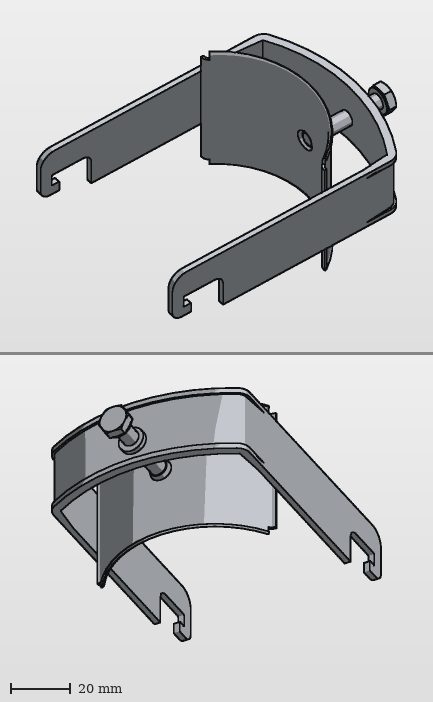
import cadquery as cq
import math


bracket_width = 75.0
strap_height = 25.0
strap_offset = 2.9
leg_thickness = 2.3
bow_thickness = 3.2
bow_top = 106.0
bow_radius = 70.6
shoulder_radius = 5.0
leg_shoulder_y = 92.2
taper_end_y = 82.5
rim_height = 2.0
band_depth = 0.8

slot_back_y = 21.4
slot_front_y = 4.8
slot_drop = 11.1
lip_drop = 15.9
hook_drop = 20.1
lip_back_y = 8.0
hook_top_radius = 6.0
hook_bottom_radius = 4.0
slot_radius = 3.6
small_radius = 0.5

screw_diameter = 6.0
screw_top = 119.7
head_height = 4.0
head_face_height = 0.6
head_face_diameter = 10.0
head_across_flats = 10.0
head_chamfer_angle = 30.0
screw_tip = 85.8
tip_chamfer = 0.6
collar_diameter = 9.5
collar_top = 107.0
collar_offset = -0.5

sheet = 1.0
pad_height = 53.5
pad_radius = 37.3
pad_apex = 85.1
pad_half_chord = 31.1
flare_angle = 60.0
flare_radius = sheet
tab_tip = 34.1
tab_inset = 3.1
tab_bend_radius = 2.0
neck_top = 88.0
neck_top_diameter = 6.7
neck_base_diameter = 7.9
neck_mouth_diameter = 7.5

strap_top = strap_offset + strap_height / 2
strap_bottom = strap_offset - strap_height / 2
half_width = bracket_width / 2
bow_centre_y = bow_top - bow_radius


def circle_y(radius, centre_y, x):
    """Upper Y of a circle centred on the mid plane."""
    return centre_y + math.sqrt(radius**2 - x**2)


def bow_blank(inset, rounding, bottom, height):
    """Filled U outline whose bow is sunk by `inset`, while the legs taper back to full width."""
    radius = bow_radius - inset
    side = half_width - inset
    corner_y = circle_y(radius, bow_centre_y, side)
    blank = (
        cq.Workplane("XY").workplane(offset=bottom)
        .moveTo(-half_width, 0)
        .lineTo(-half_width, taper_end_y)
        .lineTo(-side, leg_shoulder_y)
        .lineTo(-side, corner_y)
        .threePointArc((0, bow_centre_y + radius), (side, corner_y))
        .lineTo(side, leg_shoulder_y)
        .lineTo(half_width, taper_end_y)
        .lineTo(half_width, 0)
        .close()
        .extrude(height)
    )
    for corner_x in (-side, side):
        middle = (corner_x, corner_y, bottom + height / 2)
        blank = blank.edges(cq.selectors.NearestToPointSelector(middle)).fillet(rounding)
    return blank


def bow_opening():
    """Space inside the bow and between the legs."""
    radius = bow_radius - bow_thickness
    leg_x = half_width - leg_thickness
    corner_x = half_width - bow_thickness
    corner_y = circle_y(radius, bow_centre_y, corner_x)
    return (
        cq.Workplane("XY").workplane(offset=strap_bottom)
        .moveTo(-leg_x, 0)
        .lineTo(-leg_x, taper_end_y)
        .lineTo(-corner_x, corner_y)
        .threePointArc((0, bow_centre_y + radius), (corner_x, corner_y))
        .lineTo(leg_x, taper_end_y)
        .lineTo(leg_x, 0)
        .close()
        .extrude(strap_height)
    )


def hook_profile():
    """Side outline of the strap, running through both legs."""
    slot_z = strap_top - slot_drop
    lip_z = strap_top - lip_drop
    hook_z = strap_top - hook_drop
    side = (
        cq.Workplane("YZ")
        .moveTo(bow_top, strap_bottom)
        .lineTo(slot_back_y, strap_bottom)
        .lineTo(slot_back_y, slot_z)
        .lineTo(slot_front_y, slot_z)
        .lineTo(slot_front_y, lip_z)
        .lineTo(lip_back_y, lip_z)
        .lineTo(lip_back_y, hook_z)
        .lineTo(0, hook_z)
        .lineTo(0, strap_top)
        .lineTo(bow_top, strap_top)
        .close()
        .extrude(half_width, both=True)
    )
    rounded_corners = [
        (0, strap_top, hook_top_radius),
        (0, hook_z, hook_bottom_radius),
        (slot_back_y, slot_z, slot_radius),
        (slot_front_y, slot_z, small_radius),
        (lip_back_y, lip_z, small_radius),
        (lip_back_y, hook_z, small_radius),
    ]
    for y, z, radius in rounded_corners:
        side = side.edges(cq.selectors.NearestToPointSelector((0, y, z))).fillet(radius)
    return side


def rod(diameter, start_y, end_y):
    """Cylinder on the screw axis."""
    return (
        cq.Workplane("XZ", origin=(0, start_y, 0))
        .circle(diameter / 2)
        .extrude(start_y - end_y)
    )


def screw_head():
    """Chamfered hexagon with a round bearing face under it."""
    across_corners = head_across_flats / math.cos(math.pi / 6)
    flank = (across_corners - head_across_flats) / 2
    chamfer = flank * math.tan(math.radians(head_chamfer_angle))
    under_hex = screw_top - head_height + head_face_height
    hexagon = (
        cq.Workplane("XZ", origin=(0, screw_top, 0))
        .polygon(6, across_corners)
        .extrude(screw_top - under_hex)
    )
    crown = (
        cq.Workplane("XY")
        .moveTo(0, under_hex)
        .lineTo(across_corners / 2, under_hex)
        .lineTo(across_corners / 2, screw_top - chamfer)
        .lineTo(head_across_flats / 2, screw_top)
        .lineTo(0, screw_top)
        .close()
        .revolve(360, (0, 0, 0), (0, 1, 0))
    )
    return hexagon.intersect(crown).union(rod(head_face_diameter, screw_top - head_height, under_hex))


def make_bracket():
    """Bow, legs and the screw that is fixed in the bow."""
    rims = bow_blank(0, shoulder_radius, strap_bottom, strap_height)
    band_bottom = strap_bottom + rim_height
    band_height = strap_height - 2 * rim_height
    band_space = (
        cq.Workplane("XY").workplane(offset=band_bottom)
        .rect(2 * bracket_width, 2 * screw_top)
        .extrude(band_height)
    )
    band = bow_blank(band_depth, shoulder_radius - band_depth, band_bottom, band_height)
    strap = rims.cut(band_space).union(band).cut(bow_opening()).intersect(hook_profile())
    collar = rod(collar_diameter, bow_top - bow_thickness / 2, collar_top).translate((0, 0, collar_offset))
    shank = rod(screw_diameter, screw_tip, screw_top - head_height).faces("<Y").chamfer(tip_chamfer)
    return strap.union(collar).union(shank).union(screw_head())


def curved_sheet():
    """Sheet bent round an axis along Z, with flared upper and lower edges and two side tabs."""
    centre_y = pad_apex - pad_radius
    half_angle = math.degrees(math.asin(pad_half_chord / pad_radius))
    flare = math.radians(flare_angle)
    outer_radius = pad_radius + sheet
    convex = flare_radius + sheet
    flare_centre = pad_radius + convex
    flare_z = pad_height / 2 - convex * math.sin(flare)

    def flare_point(bend, angle, side):
        return (flare_centre - bend * math.cos(angle), side * (flare_z + bend * math.sin(angle)))

    section = (
        cq.Workplane("XZ")
        .moveTo(pad_radius, -flare_z)
        .lineTo(pad_radius, flare_z)
        .threePointArc(flare_point(convex, flare / 2, 1), flare_point(convex, flare, 1))
        .lineTo(*flare_point(flare_radius, flare, 1))
        .threePointArc(flare_point(flare_radius, flare / 2, 1), (outer_radius, flare_z))
        .lineTo(outer_radius, -flare_z)
        .threePointArc(flare_point(flare_radius, flare / 2, -1), flare_point(flare_radius, flare, -1))
        .lineTo(*flare_point(convex, flare, -1))
        .threePointArc(flare_point(convex, flare / 2, -1), (pad_radius, -flare_z))
        .close()
    )
    shell = (
        section.revolve(2 * half_angle, (0, 0, 0), (0, 1, 0))
        .rotate((0, 0, 0), (0, 0, 1), 90 - half_angle)
        .translate((0, centre_y, 0))
    )

    end = math.radians(half_angle)
    convex_bend = tab_bend_radius + sheet
    bend_x = (outer_radius + tab_bend_radius) * math.sin(end)
    bend_y = centre_y + (outer_radius + tab_bend_radius) * math.cos(end)

    def bend_point(bend, angle):
        return (bend_x - bend * math.sin(angle), bend_y - bend * math.cos(angle))

    tab = (
        cq.Workplane("XY").workplane(offset=-pad_height / 2 + tab_inset)
        .moveTo(*bend_point(convex_bend, end))
        .threePointArc(bend_point(convex_bend, end / 2), bend_point(convex_bend, 0))
        .lineTo(tab_tip, bend_y - convex_bend)
        .lineTo(tab_tip, bend_y - tab_bend_radius)
        .lineTo(*bend_point(tab_bend_radius, 0))
        .threePointArc(bend_point(tab_bend_radius, end / 2), bend_point(tab_bend_radius, end))
        .close()
        .extrude(pad_height - 2 * tab_inset)
    )

    return shell.union(tab).union(tab.mirror("YZ"))


def neck():
    """Outer cone of the neck, rooted inside the sheet."""
    root_y = pad_apex + sheet / 2
    return (
        cq.Workplane("XY")
        .moveTo(0, root_y)
        .lineTo(neck_base_diameter / 2, root_y)
        .lineTo(neck_base_diameter / 2, pad_apex + sheet)
        .lineTo(neck_top_diameter / 2, neck_top)
        .lineTo(0, neck_top)
        .close()
        .revolve(360, (0, 0, 0), (0, 1, 0))
    )


def neck_bore():
    """Bore for the screw; a cone widens it through the sheet and runs on past the inner face."""
    bore_radius = screw_diameter / 2
    cone_end_radius = neck_mouth_diameter - bore_radius
    return (
        cq.Workplane("XY")
        .moveTo(0, pad_apex - sheet)
        .lineTo(cone_end_radius, pad_apex - sheet)
        .lineTo(bore_radius, pad_apex + sheet)
        .lineTo(bore_radius, neck_top)
        .lineTo(0, neck_top)
        .close()
        .revolve(360, (0, 0, 0), (0, 1, 0))
    )


def make_pad():
    """Curved sheet with its tabs, and the neck around the screw tip."""
    return curved_sheet().union(neck()).cut(neck_bore())


bracket = make_bracket()
pad = make_pad()
result = cq.Compound.makeCompound([bracket.solids().val(), pad.solids().val()])